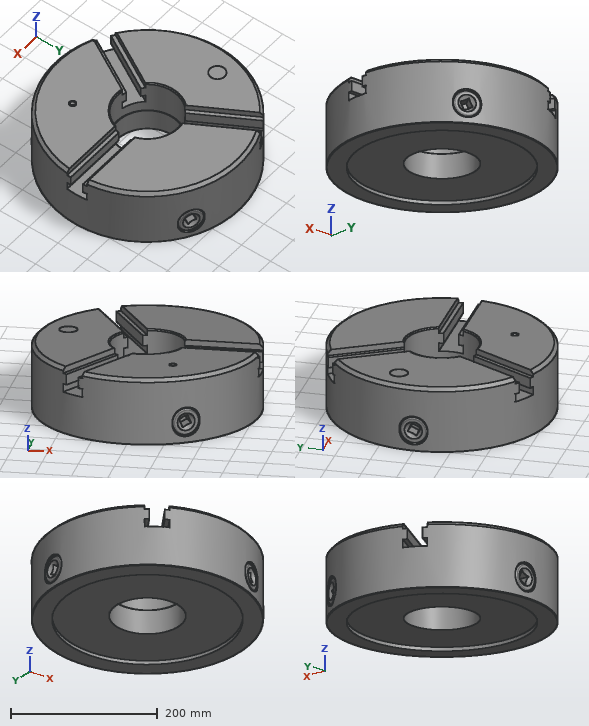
import cadquery as cq
import math

chuck_diameter = 316.0
chuck_height = 95.0
top_chamfer = 5.0
bottom_chamfer = 1.0

bore_diameter = 103.0
bore_chamfer = 2.0
relief_diameter = 104.5
relief_height = 42.0

mount_diameter = 260.0
mount_depth = 5.7

way_width = 34.0
neck_width = 21.2
mouth_depth = 8.5
neck_depth = 23.7
way_depth = 35.5
jaw_angles = [0, 120, 240]

pinion_diameter = 38.0
pinion_length = 47.5
pinion_fillet = 2.0
pinion_height = 30.3
pinion_face_radius = 157.3
pinion_turns = {60: 24, 180: -24, 300: 24}
pinion_hole_mouth = 41.7

socket_side = 13.3
socket_depth = 21.8
dish_diameter = 25.0
dish_depth = 6.3

mark_diameter = 25.0
mark_depth = 0.3
mark_radius = 119.5
mark_angle = 165

oil_diameter = 10.0
oil_recess = 0.3
oil_cone_diameter = 7.5
oil_hole_diameter = 1.5
oil_hole_depth = 6.3
oil_radius = 103.0
oil_angle = 300


def cylinder_below(diameter, depth, top=0):
    """Cylinder on the Z axis reaching down from a given height."""
    return cq.Workplane("XY", origin=(0, 0, top)).circle(diameter / 2).extrude(-depth)


def cone_below(wide_diameter, narrow_diameter, top=0):
    """45-degree cone on the Z axis that narrows downwards from a given height."""
    depth = (wide_diameter - narrow_diameter) / 2
    return (
        cq.Workplane("XY", origin=(0, 0, top))
        .circle(wide_diameter / 2)
        .workplane(offset=-depth)
        .circle(narrow_diameter / 2)
        .loft()
    )


def polar_point(radius, angle):
    turn = math.radians(angle)
    return radius * math.cos(turn), radius * math.sin(turn)


def place_on_top(shape, radius, angle):
    """Move a shape drawn below Z = 0 to a polar position on the top face."""
    return shape.translate((*polar_point(radius, angle), chuck_height))


def place_on_rim(shape, angle):
    """Turn a shape drawn below Z = 0 so that it reaches into the rim on a pinion axis."""
    lying = shape.rotate((0, 0, 0), (0, 1, 0), 90)
    at_rim = lying.translate((pinion_face_radius, 0, pinion_height))
    return at_rim.rotate((0, 0, 0), (0, 0, 1), angle)


def make_disc():
    """Chamfered disc with its stepped bore and mounting recess."""
    disc = cylinder_below(chuck_diameter, chuck_height, chuck_height)
    disc = disc.faces(">Z").chamfer(top_chamfer)
    disc = disc.faces("<Z").chamfer(bottom_chamfer)
    bore = cylinder_below(bore_diameter, chuck_height, chuck_height)
    bore_rim = cone_below(bore_diameter + 2 * bore_chamfer, bore_diameter, chuck_height)
    relief = cylinder_below(relief_diameter, relief_height, relief_height)
    mount = cylinder_below(mount_diameter, mount_depth, mount_depth)
    return disc.cut(bore).cut(bore_rim).cut(relief).cut(mount)


def make_jaw_way(angle):
    """T-shaped slot with a widened mouth, from the chuck axis out through the rim."""
    wide = way_width / 2
    narrow = neck_width / 2
    half_profile = [
        (wide, 0),
        (wide, -mouth_depth),
        (narrow, -mouth_depth),
        (narrow, -neck_depth),
        (wide, -neck_depth),
        (wide, -way_depth),
    ]
    other_half = [(-y, z) for y, z in reversed(half_profile)]
    way = (
        cq.Workplane("YZ", origin=(0, 0, chuck_height))
        .polyline(half_profile + other_half)
        .close()
        .extrude(chuck_diameter)
    )
    return way.rotate((0, 0, 0), (0, 0, 1), angle)


def make_pinion_hole(angle):
    """Blind hole that fits a pinion, with a chamfered mouth at the rim."""
    clearance = chuck_diameter / 2 - pinion_face_radius
    hole = cylinder_below(pinion_diameter, pinion_length)
    mouth = cone_below(pinion_hole_mouth, pinion_diameter)
    rim_opening = cylinder_below(pinion_hole_mouth, clearance, clearance)
    return place_on_rim(hole.union(mouth).union(rim_opening), angle)


def make_mark():
    return place_on_top(cylinder_below(mark_diameter, mark_depth), mark_radius, mark_angle)


def make_oil_cup():
    """Shallow recess, then a cone leading to a fine hole."""
    recess = cylinder_below(oil_diameter, oil_recess)
    cone = cone_below(oil_cone_diameter, oil_hole_diameter, -oil_recess)
    hole = cylinder_below(oil_hole_diameter, oil_hole_depth, -oil_recess)
    return place_on_top(recess.union(cone).union(hole), oil_radius, oil_angle)


def make_housing():
    housing = make_disc()
    for angle in jaw_angles:
        housing = housing.cut(make_jaw_way(angle))
    for angle in pinion_turns:
        housing = housing.cut(make_pinion_hole(angle))
    return housing.cut(make_mark()).cut(make_oil_cup())


def make_pinion(angle, turn):
    """Round pinion with a rounded outer edge and a dished square socket."""
    pinion = cylinder_below(pinion_diameter, pinion_length).faces(">Z").edges().fillet(pinion_fillet)
    socket = cq.Workplane("XY").rect(socket_side, socket_side).extrude(-socket_depth)
    sphere_radius = ((dish_diameter / 2) ** 2 + dish_depth**2) / (2 * dish_depth)
    dish = cq.Workplane("XY", origin=(0, 0, sphere_radius - dish_depth)).sphere(sphere_radius)
    pinion = pinion.cut(dish).cut(socket.rotate((0, 0, 0), (0, 0, 1), turn))
    return place_on_rim(pinion, angle)


housing = make_housing().solids()
pinions = []
for angle, turn in pinion_turns.items():
    pinions.append(make_pinion(angle, turn).solids().val())

result = cq.Compound.makeCompound([housing.val(), *pinions])